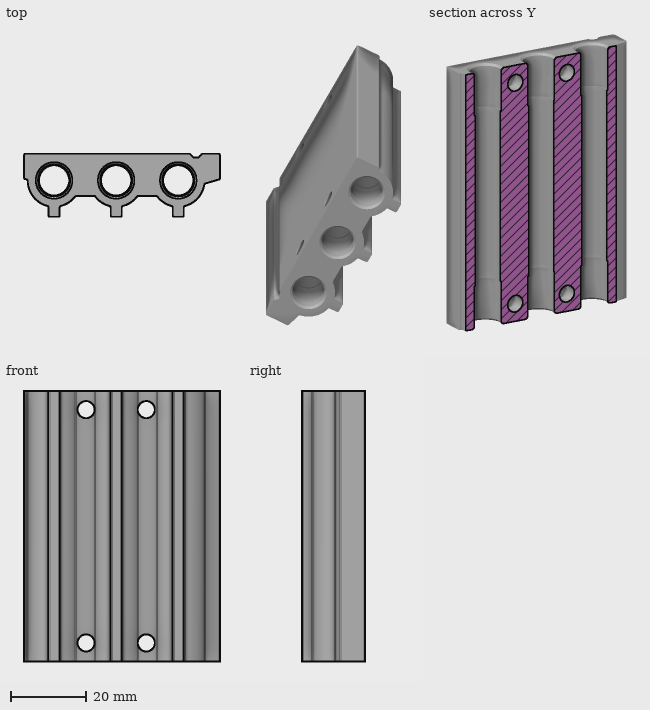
import cadquery as cq
import math

WIDTH = 52.1
DEPTH = 16.8
HEIGHT = 72.0

TUBE_PITCH = 16.5
FIRST_TUBE_INSET = 8.0
TUBE_SETBACK = 7.1
TUBE_RADIUS = 7.05
RIB_WIDTH = 3.0

PASSAGE_DIAMETER = 8.0
TAP_DIAMETER = 8.57
TAP_DEPTH = 12.0
MOUTH_DIAMETER = 9.73

PLATE_DEPTH = 6.8
WEB_DEPTH = 11.3
FLANK_SLOPE = math.radians(16.5)

GROOVE_INSET = 6.4
GROOVE_FLOOR_WIDTH = 1.3
GROOVE_DEPTH = 1.0

MOUNT_DIAMETER = 4.5
MOUNT_SPACING_X = 16.0
MOUNT_END_DISTANCE = 5.0

EDGE_RADIUS = 0.4

LEFT = -WIDTH / 2
RIGHT = WIDTH / 2
BACK = DEPTH / 2
FRONT = -DEPTH / 2
TOP = HEIGHT / 2
TUBE_XS = [LEFT + FIRST_TUBE_INSET + i * TUBE_PITCH for i in range(3)]
TUBE_Y = BACK - TUBE_SETBACK


def column(x_min, x_max, y_min, y_max):
    """Full-height rectangular block between the given limits."""
    block = cq.Workplane("XY").box(x_max - x_min, y_max - y_min, HEIGHT)
    return block.translate(((x_min + x_max) / 2, (y_min + y_max) / 2, 0))


def prism(points):
    """Full-height prism over a closed polygon."""
    return cq.Workplane("XY").workplane(offset=-TOP).polyline(points).close().extrude(HEIGHT)


def flank():
    """Wedge that slopes from the front right corner of the plate down to the last tube."""
    plate_front = BACK - PLATE_DEPTH
    run = RIGHT - TUBE_XS[-1]
    low_point = (TUBE_XS[-1], plate_front - run * math.tan(FLANK_SLOPE))
    return prism([(RIGHT, plate_front), (TUBE_XS[-1], plate_front), low_point])


def profile_body():
    """Plate, webs, tubes and ribs with their lengthwise edges rounded."""
    body = column(LEFT, RIGHT, BACK - PLATE_DEPTH, BACK)
    body = body.union(flank())
    body = body.union(column(TUBE_XS[0], TUBE_XS[-1], BACK - WEB_DEPTH, BACK))
    for x in TUBE_XS:
        tube = cq.Workplane("XY").circle(TUBE_RADIUS).extrude(HEIGHT)
        body = body.union(tube.translate((x, TUBE_Y, -TOP)))
        body = body.union(column(x - RIB_WIDTH / 2, x + RIB_WIDTH / 2, FRONT, TUBE_Y))
    return body.clean().edges("|Z").fillet(EDGE_RADIUS)


def bore(x):
    """Half section of the bore, revolved about the tube axis."""
    passage_radius = PASSAGE_DIAMETER / 2
    tap_radius = TAP_DIAMETER / 2
    mouth_radius = MOUTH_DIAMETER / 2
    tap_end = TOP - TAP_DEPTH
    chamfer_end = TOP - (mouth_radius - tap_radius)
    upper_half = [
        (passage_radius, tap_end),
        (tap_radius, tap_end),
        (tap_radius, chamfer_end),
        (mouth_radius, TOP),
        (0, TOP),
    ]
    lower_half = [(r, -z) for r, z in reversed(upper_half)]
    section = cq.Workplane("XZ").polyline(lower_half + upper_half).close()
    return section.revolve(360, (0, 0), (0, 1)).translate((x, TUBE_Y, 0))


def groove():
    """Flat-bottomed groove with 45 degree sides along the back face."""
    centre = RIGHT - GROOVE_INSET
    half_floor = GROOVE_FLOOR_WIDTH / 2
    half_mouth = half_floor + GROOVE_DEPTH
    floor = BACK - GROOVE_DEPTH
    return prism([
        (centre - half_mouth, BACK),
        (centre - half_floor, floor),
        (centre + half_floor, floor),
        (centre + half_mouth, BACK),
    ])


def mount_holes():
    """Four plain holes through the webs, placed about the middle tube."""
    spacing_z = HEIGHT - 2 * MOUNT_END_DISTANCE
    pattern = cq.Workplane("XZ").rarray(MOUNT_SPACING_X, spacing_z, 2, 2)
    holes = pattern.circle(MOUNT_DIAMETER / 2).extrude(DEPTH / 2, both=True)
    return holes.translate((TUBE_XS[1], 0, 0))


result = profile_body().cut(groove()).cut(mount_holes())
for tube_x in TUBE_XS:
    result = result.cut(bore(tube_x))